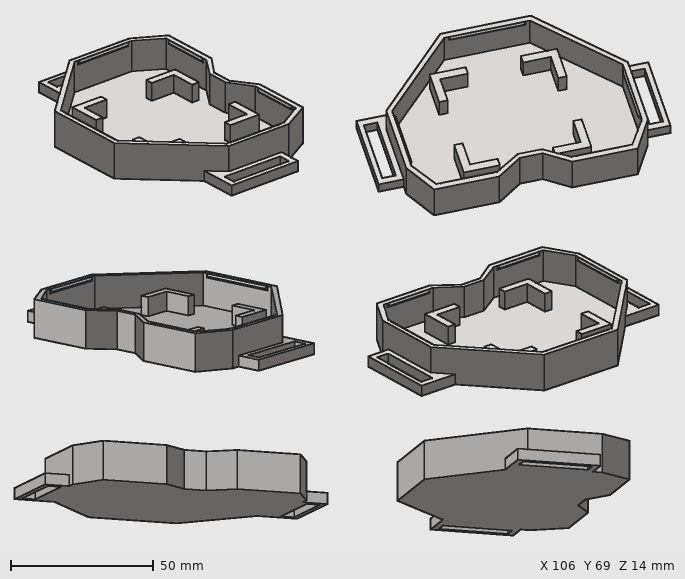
import cadquery as cq

height = 14.0
floor_thickness = 2.0

outer_half = [(4.1, 28.1), (13.2, 34.5), (37.0, 34.5), (43.9, 22.4), (43.9, -5.0), (16.4, -34.5)]
inner_half = [(4.3, 26.2), (13.5, 32.2), (35.6, 32.2), (41.9, 21.8), (41.9, -4.3), (15.6, -32.3)]

overall_length = 106
tab_height = 4.0
tab_top_y = 19.0
tab_bottom_y = -11.3
tab_root_x = 32.9
slot_width = 4.9
slot_length = 25.2
slot_outer_rim = 2.0

bracket_span_x = 46.3
bracket_span_y = 46.9
bracket_center = (0.6, 2.0)
bracket_arm = 13.1
bracket_thickness = 3.1
bracket_height = 7.0

ridge_depth = 0.7
ridge_drop = 0.8
ridge_end_gap = 1.6
ridge_crest_width = 0.02


def heart_prism(half, base_z):
    """Extrude a mirrored half outline from base_z to the rim."""
    mirrored = [(-x, y) for x, y in reversed(half)]
    return cq.Workplane("XY").workplane(offset=base_z).polyline(half + mirrored).close().extrude(height - base_z)


def strap_tab(side):
    """Slotted tab on the right (side = 1) or left (side = -1)."""
    tip_x = overall_length / 2
    center_y = (tab_top_y + tab_bottom_y) / 2
    slot_x = tip_x - slot_outer_rim - slot_width / 2
    plate = (
        cq.Workplane("XY")
        .center(side * (tip_x + tab_root_x) / 2, center_y)
        .rect(tip_x - tab_root_x, tab_top_y - tab_bottom_y)
        .extrude(tab_height)
    )
    slot = cq.Workplane("XY").center(side * slot_x, center_y).rect(slot_width, slot_length).extrude(tab_height)
    return plate.cut(slot)


def corner_bracket(side_x, side_y):
    """L-shaped bracket with its arms pointing toward the bracket center."""
    corner_x = bracket_center[0] + side_x * bracket_span_x / 2
    corner_y = bracket_center[1] + side_y * bracket_span_y / 2
    profile = [
        (0, 0),
        (bracket_arm, 0),
        (bracket_arm, bracket_thickness),
        (bracket_thickness, bracket_thickness),
        (bracket_thickness, bracket_arm),
        (0, bracket_arm),
    ]
    points = [(corner_x - side_x * u, corner_y - side_y * v) for u, v in profile]
    return cq.Workplane("XY").polyline(points).close().extrude(floor_thickness + bracket_height)


def snap_ridge(start, end):
    """Ridge with 45 degree faces and ends on an inner wall; the cavity lies right of start to end."""
    start = cq.Vector(*start, height - ridge_drop)
    end = cq.Vector(*end, height - ridge_drop)
    along = (end - start).normalized()
    middle = (start + end) * 0.5
    wall = cq.Plane(origin=middle, xDir=along, normal=along.cross(cq.Vector(0, 0, 1)))
    length = (end - start).Length - 2 * ridge_end_gap
    base_height = ridge_crest_width + 2 * ridge_depth
    return cq.Workplane(wall).rect(length, base_height).extrude(ridge_depth, taper=45)


body = heart_prism(outer_half, 0)
for side in (-1, 1):
    body = body.union(strap_tab(side))
body = body.cut(heart_prism(inner_half, floor_thickness))

for side_x in (-1, 1):
    for side_y in (-1, 1):
        body = body.union(corner_bracket(side_x, side_y))

_, lobe_inner, lobe_outer, side_top, side_bottom, base_corner = inner_half


def mirror_x(point):
    return (-point[0], point[1])


ridge_edges = [
    (lobe_inner, lobe_outer),
    (mirror_x(lobe_outer), mirror_x(lobe_inner)),
    (side_top, side_bottom),
    (mirror_x(side_bottom), mirror_x(side_top)),
    (base_corner, mirror_x(base_corner)),
]
for start, end in ridge_edges:
    body = body.union(snap_ridge(start, end))

result = body